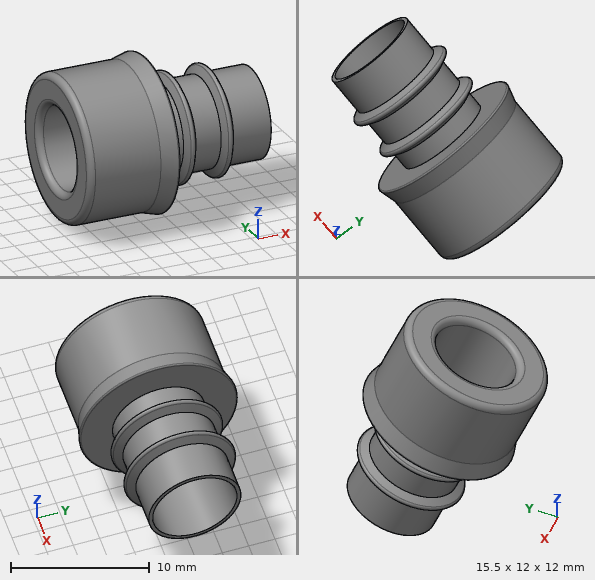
import cadquery as cq
import math

length = 15.5
bore_radius = 6.4 / 2
spigot_radius = 7.0 / 2

head_radius = 11.3 / 2
collar_radius = 12.06 / 2
collar_start = 5.7
head_length = 7.1
edge_fillet = 0.5
collar_edge_fillet = 0.1

barb_radius = 8.46 / 2
barb_base_width = 0.99
barb_crest_radius = 0.2
barb_flank_angle = 63.0
barb_centers = (9.0, 12.0)


def revolve_about_x(profile):
    return profile.close().revolve(360, (0, 0, 0), (1, 0, 0))


def make_head():
    profile = (
        cq.Workplane("XY")
        .lineTo(0, head_radius)
        .lineTo(collar_start, head_radius)
        .lineTo(head_length, collar_radius)
        .lineTo(head_length, 0)
    )
    head = revolve_about_x(profile)
    head = head.faces("<X").edges().fillet(edge_fillet)
    return head.faces(">X").edges().fillet(collar_edge_fillet)


def make_spigot():
    return cq.Workplane("YZ", origin=(head_length, 0, 0)).circle(spigot_radius).extrude(length - head_length)


def make_barb(center):
    """Ridge whose crest arc is tangent to both flanks."""
    flank = math.radians(barb_flank_angle)
    tangent_offset = barb_crest_radius * math.sin(flank)
    tangent_radius = barb_radius - barb_crest_radius * (1 - math.cos(flank))
    half_base = barb_base_width / 2
    profile = (
        cq.Workplane("XY")
        .moveTo(center - half_base, 0)
        .lineTo(center - half_base, spigot_radius)
        .lineTo(center - tangent_offset, tangent_radius)
        .threePointArc((center, barb_radius), (center + tangent_offset, tangent_radius))
        .lineTo(center + half_base, spigot_radius)
        .lineTo(center + half_base, 0)
    )
    return revolve_about_x(profile)


body = make_head().union(make_spigot())
for barb_center in barb_centers:
    body = body.union(make_barb(barb_center))

bore = cq.Workplane("YZ").circle(bore_radius).extrude(length)
body = body.cut(bore)
result = body.faces("<X").edges(cq.selectors.RadiusNthSelector(0)).fillet(edge_fillet)